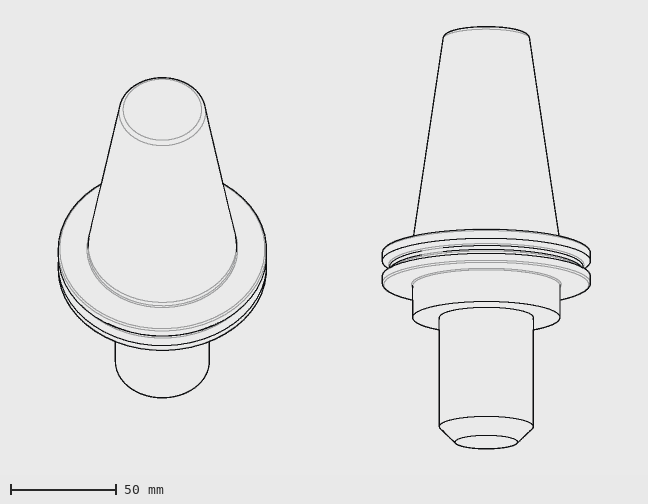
import cadquery as cq

total_length = 196.8
shank_radius = 22.2
shank_chamfer = 7.5
collar_bottom = 60.2
collar_radius = 34.8
corner_fillet = 0.5

flange_bottom = 76.2
flange_top = 92.1
flange_radius = 49.2
flange_edge = 0.8

groove_floor_radius = 45.7
groove_bottom = 80.3
groove_top = 87.5
groove_floor_height = 3.0
groove_floor_fillet = 1.0

taper_base = 95.3
gauge_radius = 35.0
taper_ratio = 7 / 24
taper_tip_fillet = 2.0

taper_top_radius = gauge_radius - (total_length - taper_base) * taper_ratio / 2
groove_middle = (groove_bottom + groove_top) / 2
groove_floor_bottom = groove_middle - groove_floor_height / 2
groove_floor_top = groove_middle + groove_floor_height / 2


def turned(*outline):
    """Revolve a closed (radius, height) outline about the Z axis."""
    return cq.Workplane("XZ").polyline(outline).close().revolve(360, (0, 0), (0, 1))


def disc(radius, bottom, top):
    """Cylinder on the Z axis between two heights."""
    return cq.Workplane("XY").workplane(offset=bottom).circle(radius).extrude(top - bottom)


shank = disc(shank_radius, 0, collar_bottom).faces("<Z").edges().chamfer(shank_chamfer)
collar = disc(collar_radius, collar_bottom, flange_bottom)

groove = turned(
    (groove_floor_radius, groove_floor_bottom),
    (flange_radius, groove_bottom),
    (flange_radius, groove_top),
    (groove_floor_radius, groove_floor_top),
)
groove = groove.edges(cq.selectors.RadiusNthSelector(0)).fillet(groove_floor_fillet)
flange = disc(flange_radius, flange_bottom, flange_top).edges().fillet(flange_edge).cut(groove)

neck = disc(gauge_radius, flange_top, taper_base)
taper = turned(
    (0, taper_base),
    (gauge_radius, taper_base),
    (taper_top_radius, total_length),
    (0, total_length),
)
taper = taper.faces(">Z").edges().fillet(taper_tip_fillet)

holder = shank.union(collar).union(flange).union(neck).union(taper)


def flange_corner(height):
    """Selector for the inner corner edge on the flange face at a height."""
    reach = gauge_radius + corner_fillet
    return cq.selectors.BoxSelector(
        (-reach, -reach, height - corner_fillet),
        (reach, reach, height + corner_fillet),
        boundingbox=True,
    )


corners = flange_corner(flange_bottom) + flange_corner(flange_top)
result = holder.edges(corners).fillet(corner_fillet)